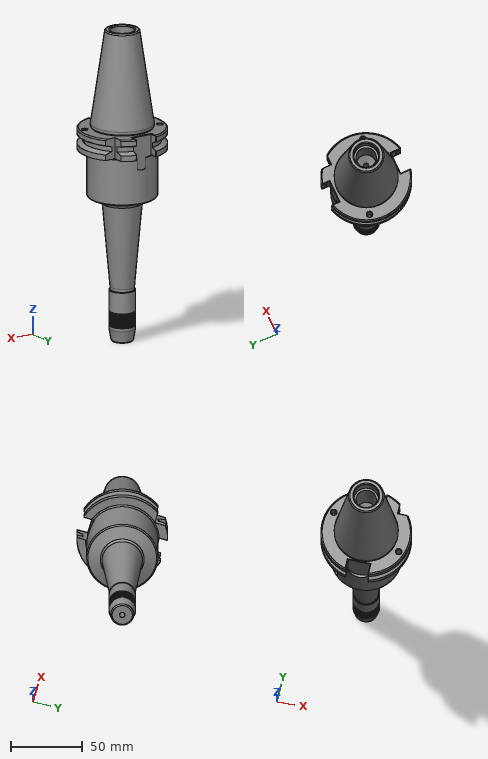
import cadquery as cq
import math

TOTAL_HEIGHT = 228.2

GAUGE_HEIGHT = 159.8
GAUGE_RADIUS = 22.4
TAPER_TOP_RADIUS = GAUGE_RADIUS - (TOTAL_HEIGHT - GAUGE_HEIGHT) * 7 / 48
TAPER_EDGE_CHAMFER = 1.0
TAPER_NECK_RADIUS = 21.7
TAPER_NECK_TOP = 157.7

FLANGE_RADIUS = 31.7
FLANGE_TOP = 156.8
FLANGE_BOTTOM = 141.3
FLANGE_EDGE_CHAMFER = 1.0
GROOVE_HEIGHT = 148.8
GROOVE_FLOOR_RADIUS = 27.6
GROOVE_FLOOR_WIDTH = 3.5
GROOVE_MOUTH_WIDTH = 6.8
GROOVE_HALF_FLOOR = GROOVE_FLOOR_WIDTH / 2
GROOVE_HALF_MOUTH = GROOVE_MOUTH_WIDTH / 2

BODY_RADIUS = 24.9
BODY_BOTTOM = 106.4
BODY_EDGE_CHAMFER = 1.0
BODY_NECK_RADIUS = 25.8
BODY_NECK_HEIGHT = 1.1

SHOULDER_RADIUS = 15.3
SHOULDER_HEIGHT = 103.5
ARM_TOP_RADIUS = 14.2
ARM_TOP = 101.3
ARM_BOTTOM_RADIUS = 8.7
ARM_BOTTOM = 40.0
COLLAR_RADIUS = 9.4
COLLAR_TOP = 38.0
COLLAR_CHAMFER = 0.5
NOSE_TOP = 9.1
NOSE_RADIUS = 8.0
NOSE_EDGE_CHAMFER = 1.0

RING_GROOVE_COUNT = 7
RING_GROOVE_WIDTH = 1.0
RING_GROOVE_PITCH = 1.5
RING_GROOVE_DEPTH = 0.7
TOP_RING_GROOVE = 22.0

SOCKET_RADIUS = 8.7
SOCKET_DEPTH = 8.2
SOCKET_CHAMFER = 0.7
THREAD_RADIUS = 7.0
THREAD_DEPTH = 32.0
DRILL_POINT_ANGLE = 118
COOLANT_RADIUS = 1.8

SLOT_WIDTH = 16.0
SLOT_BEVEL = 0.5
SLOT_END = 131.7
FRONT_SLOT_FLOOR = 22.8
BACK_SLOT_FLOOR = 24.7

NOTCH_OFFSET = 18.3

SCREW_X = 25.3
SCREW_Y = 9.4
SCREW_RADIUS = 1.8
SCREW_CHAMFER = 0.5

POCKET_FLOOR = 16.5
POCKET_CENTRE_Y = -13.2
POCKET_CENTRE_Z = 113.7
POCKET_RADIUS = 5.5
POCKET_DIMPLE_RADIUS = 5.0
POCKET_DIMPLE_DEPTH = POCKET_DIMPLE_RADIUS


def drill_point_length(radius):
    return radius / math.tan(math.radians(DRILL_POINT_ANGLE / 2))


def turned_blank():
    return (
        cq.Workplane("XZ")
        .moveTo(0, 0)
        .lineTo(NOSE_RADIUS - NOSE_EDGE_CHAMFER, 0)
        .lineTo(NOSE_RADIUS, NOSE_EDGE_CHAMFER)
        .lineTo(COLLAR_RADIUS, NOSE_TOP)
        .lineTo(COLLAR_RADIUS, COLLAR_TOP - COLLAR_CHAMFER)
        .lineTo(COLLAR_RADIUS - COLLAR_CHAMFER, COLLAR_TOP)
        .lineTo(ARM_BOTTOM_RADIUS, COLLAR_TOP)
        .lineTo(ARM_BOTTOM_RADIUS, ARM_BOTTOM)
        .lineTo(ARM_TOP_RADIUS, ARM_TOP)
        .lineTo(SHOULDER_RADIUS, SHOULDER_HEIGHT)
        .lineTo(BODY_RADIUS - BODY_EDGE_CHAMFER, BODY_BOTTOM)
        .lineTo(BODY_RADIUS, BODY_BOTTOM + BODY_EDGE_CHAMFER)
        .lineTo(BODY_RADIUS, FLANGE_BOTTOM - BODY_NECK_HEIGHT)
        .lineTo(BODY_NECK_RADIUS, FLANGE_BOTTOM)
        .lineTo(FLANGE_RADIUS, FLANGE_BOTTOM)
        .lineTo(FLANGE_RADIUS, GROOVE_HEIGHT - GROOVE_HALF_MOUTH)
        .lineTo(GROOVE_FLOOR_RADIUS, GROOVE_HEIGHT - GROOVE_HALF_FLOOR)
        .lineTo(GROOVE_FLOOR_RADIUS, GROOVE_HEIGHT + GROOVE_HALF_FLOOR)
        .lineTo(FLANGE_RADIUS, GROOVE_HEIGHT + GROOVE_HALF_MOUTH)
        .lineTo(FLANGE_RADIUS, FLANGE_TOP - FLANGE_EDGE_CHAMFER)
        .lineTo(FLANGE_RADIUS - FLANGE_EDGE_CHAMFER, FLANGE_TOP)
        .lineTo(TAPER_NECK_RADIUS, FLANGE_TOP)
        .lineTo(GAUGE_RADIUS, TAPER_NECK_TOP)
        .lineTo(GAUGE_RADIUS, GAUGE_HEIGHT)
        .lineTo(TAPER_TOP_RADIUS, TOTAL_HEIGHT - TAPER_EDGE_CHAMFER)
        .lineTo(TAPER_TOP_RADIUS - TAPER_EDGE_CHAMFER, TOTAL_HEIGHT)
        .lineTo(0, TOTAL_HEIGHT)
        .close()
        .revolve(360, (0, 0, 0), (0, 1, 0))
    )


def ring_groove(index):
    top = TOP_RING_GROOVE - index * RING_GROOVE_PITCH
    return (
        cq.Workplane("XY", origin=(0, 0, top - RING_GROOVE_WIDTH))
        .circle(COLLAR_RADIUS + RING_GROOVE_DEPTH)
        .circle(COLLAR_RADIUS - RING_GROOVE_DEPTH)
        .extrude(RING_GROOVE_WIDTH)
    )


def axial_bore():
    socket_bottom = TOTAL_HEIGHT - SOCKET_DEPTH
    thread_bottom = TOTAL_HEIGHT - THREAD_DEPTH
    cone_bottom = thread_bottom - drill_point_length(THREAD_RADIUS - COOLANT_RADIUS)
    return (
        cq.Workplane("XZ")
        .moveTo(0, 0)
        .lineTo(COOLANT_RADIUS, 0)
        .lineTo(COOLANT_RADIUS, cone_bottom)
        .lineTo(THREAD_RADIUS, thread_bottom)
        .lineTo(THREAD_RADIUS, socket_bottom)
        .lineTo(SOCKET_RADIUS, socket_bottom)
        .lineTo(SOCKET_RADIUS, TOTAL_HEIGHT - SOCKET_CHAMFER)
        .lineTo(SOCKET_RADIUS + SOCKET_CHAMFER, TOTAL_HEIGHT)
        .lineTo(0, TOTAL_HEIGHT)
        .close()
        .revolve(360, (0, 0, 0), (0, 1, 0))
    )


def drive_slot(floor, side):
    """Round-ended slot; side is -1 for the -Y side and +1 for the +Y side."""
    half_width = SLOT_WIDTH / 2
    arc_centre = SLOT_END + half_width
    profile = (
        cq.Workplane("XZ", origin=(0, side * floor, 0))
        .moveTo(-half_width, FLANGE_TOP)
        .lineTo(-half_width, arc_centre)
        .threePointArc((0, SLOT_END), (half_width, arc_centre))
        .lineTo(half_width, FLANGE_TOP)
        .close()
    )
    return profile.extrude(-side * FLANGE_RADIUS)


def slot_bevels(floor, side):
    """Bevels on the slot edges: around the flange face and down the flange rim."""
    half_width = SLOT_WIDTH / 2
    wide = half_width + SLOT_BEVEL
    inner = floor - SLOT_BEVEL
    face_bevel = (
        cq.Workplane("XY", origin=(0, side * (inner + FLANGE_RADIUS / 2), FLANGE_TOP))
        .rect(2 * wide, FLANGE_RADIUS)
        .extrude(-SLOT_BEVEL, taper=45)
    )
    mouth = math.sqrt(FLANGE_RADIUS**2 - wide**2)
    rim_bevel = (
        cq.Workplane("XY", origin=(0, 0, FLANGE_BOTTOM))
        .polyline(
            [
                (-half_width, side * (mouth - SLOT_BEVEL)),
                (half_width, side * (mouth - SLOT_BEVEL)),
                (wide, side * mouth),
                (wide, side * FLANGE_RADIUS),
                (-wide, side * FLANGE_RADIUS),
                (-wide, side * mouth),
            ]
        )
        .close()
        .extrude(FLANGE_TOP - FLANGE_BOTTOM)
    )
    return face_bevel.union(rim_bevel)


def orientation_notch():
    return (
        cq.Workplane("XY", origin=(NOTCH_OFFSET, NOTCH_OFFSET, FLANGE_BOTTOM))
        .rect(FLANGE_RADIUS, FLANGE_RADIUS, centered=False)
        .extrude(FLANGE_TOP - FLANGE_BOTTOM)
    )


def screw_hole(x, y):
    """Chamfered hole from the flange face down to the lower edge of the groove floor."""
    bottom = GROOVE_HEIGHT - GROOVE_HALF_FLOOR
    hole = cq.Workplane("XY", origin=(x, y, bottom)).circle(SCREW_RADIUS).extrude(FLANGE_TOP - bottom)
    mouth = (
        cq.Workplane("XY", origin=(x, y, FLANGE_TOP))
        .circle(SCREW_RADIUS + SCREW_CHAMFER)
        .extrude(-SCREW_CHAMFER, taper=45)
    )
    return hole.union(mouth)


def side_pocket():
    """Flat-floored pocket with one round end, open towards -Y, with a conical dimple in its floor."""
    floor = cq.Workplane("YZ", origin=(-POCKET_FLOOR, POCKET_CENTRE_Y, POCKET_CENTRE_Z))
    round_end = floor.circle(POCKET_RADIUS).extrude(-BODY_RADIUS)
    open_end = (
        floor.center(-BODY_RADIUS / 2, 0)
        .rect(BODY_RADIUS, 2 * POCKET_RADIUS)
        .extrude(-BODY_RADIUS)
    )
    dimple = cq.Solid.makeCone(
        POCKET_DIMPLE_RADIUS,
        0,
        POCKET_DIMPLE_DEPTH,
        pnt=cq.Vector(-POCKET_FLOOR, POCKET_CENTRE_Y, POCKET_CENTRE_Z),
        dir=cq.Vector(1, 0, 0),
    )
    return round_end.union(open_end).union(cq.Workplane(dimple))


result = turned_blank()
for groove_index in range(RING_GROOVE_COUNT):
    result = result.cut(ring_groove(groove_index))
result = result.cut(axial_bore())
for slot_floor, slot_side in ((FRONT_SLOT_FLOOR, -1), (BACK_SLOT_FLOOR, 1)):
    result = result.cut(drive_slot(slot_floor, slot_side))
    result = result.cut(slot_bevels(slot_floor, slot_side))
result = result.cut(orientation_notch())
for turn in (-1, 1):
    result = result.cut(screw_hole(turn * SCREW_X, -turn * SCREW_Y))
result = result.cut(side_pocket())